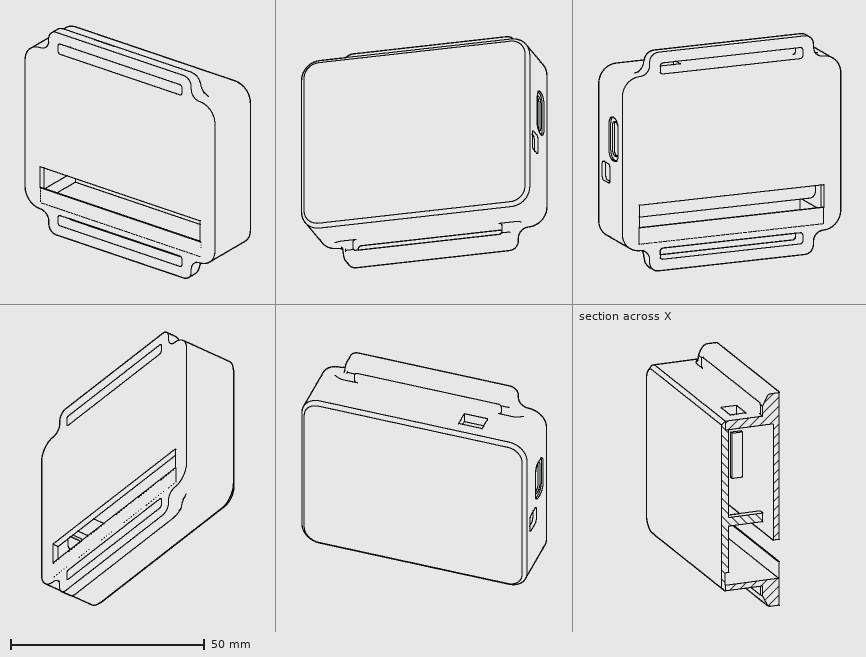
import cadquery as cq
import math

length = 61.8
box_height = 46.6
corner_radius = 4.95
overall_depth = 16.2
edge_chamfer = 1.0
seam_y = overall_depth - edge_chamfer
side_wall = 1.0
bottom_wall = 4.95
top_wall = 2.6
front_wall = 1.7
cavity_length = length - 2 * side_wall
cavity_height = box_height - bottom_wall - top_wall
cavity_z = (bottom_wall - top_wall) / 2
cavity_corner_radius = 3.0 / 2

overall_height = 58.5
ear_length = 46.35
ear_depth = 4.75
ear_corner_radius = 2.5
ear_root_radius = 2.7
ear_tip_depth = 3.1
ear_edge_radius = 1.05
strap_slot_length = 40.3
strap_slot_height = 2.95
strap_slot_radius = 0.75

front_slot_length = 52.15
front_slot_top = -11.1
front_slot_bottom = -17.2
channel_skin = 0.3
channel_floor = -21.6

port_y = 5.6
port_z = 5.7
port_width = 3.6
port_height = 9.2
port_radius = 1.5
port_recess_margin = 1.2
port_recess_radius = 2.5
port_recess_depth = 0.5
switch_y = 10.45
switch_z = -4.2
switch_size = 5.05
switch_radius = 1.05
window_x = -14.3
window_y = 9.95
window_length = 6.4
window_width = 4.4

rib_thickness = 1.0
rib_top_y = 4.65
rib_height = 12.35

plug_depth = 1.05
plug_y = seam_y - plug_depth
post_diameter = 2.5
post_left_x = -23.0
post_span = 3.1
post_z = -4.45
post_end_y = 4.65


def block(x_range, y_range, z_range):
    """Plain box given by its limits along each axis."""
    size = [high - low for low, high in (x_range, y_range, z_range)]
    low_corner = (x_range[0], y_range[0], z_range[0])
    return cq.Workplane("XY").box(*size, centered=False).translate(low_corner)


def rounded_block(width, height, radius, y_start, y_end):
    """Block centred on the Y axis, with rounded edges along Y."""
    blank = block((-width / 2, width / 2), (y_start, y_end), (-height / 2, height / 2))
    return blank.edges("|Y").fillet(radius)


def cavity_block(y_start, y_end):
    """Slice of the cavity, shared by the housing and the plug of the lid."""
    cavity = rounded_block(cavity_length, cavity_height, cavity_corner_radius, y_start, y_end)
    return cavity.translate((0, 0, cavity_z))


def side_opening(y, z, width, height, radius, depth):
    """Rounded cutter that enters the -X wall to the given depth."""
    cutter = block((-length / 2, -length / 2 + depth), (-width / 2, width / 2), (-height / 2, height / 2))
    return cutter.edges("|X").fillet(radius).translate((0, y, z))


def make_ear():
    """Top strap ear with flared roots, a sloped back, rounded edges and a strap slot."""
    half = ear_length / 2
    base_z = box_height / 2
    tip_z = overall_height / 2
    root_z = base_z + ear_root_radius
    shoulder_z = tip_z - ear_corner_radius
    anchor_z = base_z - top_wall / 2
    root_x = half + ear_root_radius
    root_bulge = ear_root_radius * (1 - math.sqrt(0.5))
    tip_bulge = ear_corner_radius * (1 - math.sqrt(0.5))
    ear = (
        cq.Workplane("XZ")
        .moveTo(-root_x, anchor_z)
        .lineTo(-root_x, base_z)
        .threePointArc((-half - root_bulge, base_z + root_bulge), (-half, root_z))
        .lineTo(-half, shoulder_z)
        .threePointArc((-half + tip_bulge, tip_z - tip_bulge), (-half + ear_corner_radius, tip_z))
        .lineTo(half - ear_corner_radius, tip_z)
        .threePointArc((half - tip_bulge, tip_z - tip_bulge), (half, shoulder_z))
        .lineTo(half, root_z)
        .threePointArc((half + root_bulge, base_z + root_bulge), (root_x, base_z))
        .lineTo(root_x, anchor_z)
        .close()
        .extrude(-ear_depth)
    )
    slope = (
        cq.Workplane("YZ")
        .polyline([(ear_tip_depth, tip_z), (ear_depth, root_z), (ear_depth, tip_z)])
        .close()
        .extrude(half, both=True)
    )
    ear = ear.cut(slope)

    margin = 0.05
    low_limit = (-length, ear_tip_depth - margin, root_z - margin)
    high_limit = (length, ear_depth, overall_height)
    root_arcs = ear.faces(">Y").edges("%CIRCLE").vals()
    tip_edges = ear.edges(cq.selectors.BoxSelector(low_limit, high_limit)).vals()
    ear = ear.newObject(root_arcs + tip_edges).fillet(ear_edge_radius)

    strap_slot = (
        block(
            (-strap_slot_length / 2, strap_slot_length / 2),
            (0, ear_depth),
            (base_z, base_z + strap_slot_height),
        )
        .edges("|Y")
        .fillet(strap_slot_radius)
    )
    return ear.cut(strap_slot)


def make_housing():
    """Shell with a cavity, two strap ears, a front slot and three openings."""
    shell = rounded_block(length, box_height, corner_radius, 0, seam_y)
    upper_ear = make_ear()
    lower_ear = upper_ear.mirror("XY")
    shell = shell.union(upper_ear).union(lower_ear)

    shell = shell.cut(cavity_block(front_wall, seam_y))

    slot_x = (-front_slot_length / 2, front_slot_length / 2)
    channel = block(slot_x, (channel_skin, seam_y), (channel_floor, front_slot_top))
    front_slot = block(slot_x, (0, front_wall), (front_slot_bottom, front_slot_top))
    shell = shell.cut(channel).cut(front_slot)

    port = side_opening(port_y, port_z, port_width, port_height, port_radius, side_wall)
    port_recess = side_opening(
        port_y,
        port_z,
        port_width + 2 * port_recess_margin,
        port_height + 2 * port_recess_margin,
        port_recess_radius,
        port_recess_depth,
    )
    switch_hole = side_opening(switch_y, switch_z, switch_size, switch_size, switch_radius, side_wall)
    window = block(
        (window_x - window_length / 2, window_x + window_length / 2),
        (window_y - window_width / 2, window_y + window_width / 2),
        (box_height / 2 - top_wall, box_height / 2),
    )
    shell = shell.cut(port).cut(port_recess).cut(switch_hole).cut(window)

    rib = block(
        (-rib_thickness / 2, rib_thickness / 2),
        (front_wall, rib_top_y),
        (port_z - rib_height / 2, port_z + rib_height / 2),
    )
    return shell.union(rib)


def make_lid():
    """Chamfered cover with a plug that fits the cavity and a round-ended post."""
    cover = rounded_block(length, box_height, corner_radius, 0, overall_depth)
    cover = cover.faces(">Y").chamfer(edge_chamfer)
    cover = cover.cut(rounded_block(length, box_height, corner_radius, 0, seam_y))
    plug = cavity_block(plug_y, seam_y)
    post = (
        cq.Workplane("XZ", origin=(post_left_x + post_span / 2, post_end_y, post_z))
        .slot2D(post_span + post_diameter, post_diameter)
        .extrude(post_end_y - plug_y)
    )
    return cover.union(plug).union(post)


housing = make_housing()
lid = make_lid()

result = cq.Compound.makeCompound([housing.val(), lid.val()])